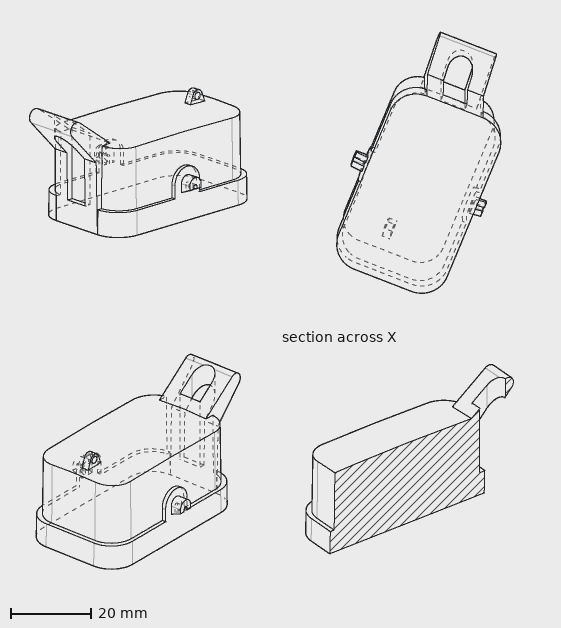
import cadquery as cq
import math

overall_length = 57.55
overall_height = 31.2
overall_width = 34.9

skirt_length = 48.3
skirt_width = 29.2
skirt_height = 6.55
skirt_corner_radius = 6.9
wall_draft = 0.8

cap_length = 45.75
cap_width = 26.85
cap_corner_radius = 6.45
crown_height = 23.65
crown_radius_across = 143.8
crown_radius_along = 632.85

peg_height = 10.0
peg_radius = 1.95
peg_base_bottom = 7.7
peg_tip_bottom = 8.9
peg_groove_width = 1.05
peg_groove_top = 10.05
ear_radius = 4.2

latch_width = 15.1
latch_foot_y = -24.2
latch_knee_y = -24.6
latch_knee_height = 19.05
lever_root_y = -19.9
lever_root_height = 23.2
lever_tip_radius = 2.0
lever_tip_y = skirt_length / 2 - overall_length + lever_tip_radius
lever_tip_height = overall_height - lever_tip_radius
window_width = 6.45
window_back_y = -22.8
window_front_y = -30.65

eyelet_y = 17.0
eyelet_height = 25.25
eyelet_radius = 1.6
eyelet_hole_radius = 0.9
eyelet_thickness = 2.0
eyelet_foot_half_length = 2.55
eyelet_foot_height = 23.2


def tangent_point(start, center, radius, side):
    """Point where a line from start touches a circle; side is 1 or -1."""
    dy = start[0] - center[0]
    dz = start[1] - center[1]
    angle = math.atan2(dz, dy) + side * math.acos(radius / math.hypot(dy, dz))
    return (center[0] + radius * math.cos(angle), center[1] + radius * math.sin(angle))


def drafted_block(length, width, corner_radius, base_height, height):
    """Rounded rectangular block whose walls lean inward."""
    outline = cq.Sketch().rect(width, length).vertices().fillet(corner_radius)
    base = cq.Workplane("XY", origin=(0, 0, base_height))
    return base.placeSketch(outline).extrude(height, taper=wall_draft)


def make_skirt():
    return drafted_block(skirt_length, skirt_width, skirt_corner_radius, 0, skirt_height)


def make_crown_limit():
    """Everything below the crown: an arc across X, swept about an axis along X."""
    half_width = skirt_width / 2
    sag = crown_radius_across - math.sqrt(crown_radius_across**2 - half_width**2)
    edge_height = crown_height - sag
    axis_height = crown_height - crown_radius_along
    sweep_angle = 2 * math.degrees(math.asin(skirt_length / 2 / (crown_radius_along - crown_height)))
    profile = (
        cq.Workplane("XZ")
        .moveTo(-half_width, 0)
        .lineTo(half_width, 0)
        .lineTo(half_width, edge_height)
        .threePointArc((0, crown_height), (-half_width, edge_height))
        .close()
    )
    wedge = profile.revolve(sweep_angle, (0, axis_height, 0), (1, axis_height, 0))
    return wedge.rotate((0, 0, axis_height), (1, 0, axis_height), -sweep_angle / 2)


def make_cap():
    cap_height = crown_height - skirt_height
    block = drafted_block(cap_length, cap_width, cap_corner_radius, skirt_height, cap_height)
    return block.intersect(make_crown_limit())


def make_ears():
    """Arched pads on both long sides, flush with the drafted skirt walls."""
    ear_top = peg_height + ear_radius
    tall_skirt = drafted_block(skirt_length, skirt_width, skirt_corner_radius, 0, ear_top)
    arch = (
        cq.Workplane("YZ")
        .moveTo(-ear_radius, 0)
        .lineTo(-ear_radius, peg_height)
        .threePointArc((0, ear_top), (ear_radius, peg_height))
        .lineTo(ear_radius, 0)
        .close()
        .extrude(skirt_width / 2, both=True)
    )
    return tall_skirt.intersect(arch)


def make_peg():
    """Round-topped peg toward +X with a tapered, grooved underside."""
    ear_face_x = skirt_width / 2 - peg_height * math.tan(math.radians(wall_draft))
    tip_x = overall_width / 2
    arch = (
        cq.Workplane("YZ")
        .moveTo(-peg_radius, peg_base_bottom)
        .lineTo(-peg_radius, peg_height)
        .threePointArc((0, peg_height + peg_radius), (peg_radius, peg_height))
        .lineTo(peg_radius, peg_base_bottom)
        .close()
        .extrude(tip_x)
    )
    side_outline = (
        cq.Workplane("XZ")
        .moveTo(0, peg_base_bottom)
        .lineTo(ear_face_x, peg_base_bottom)
        .lineTo(tip_x, peg_tip_bottom)
        .lineTo(tip_x, peg_height + peg_radius)
        .lineTo(0, peg_height + peg_radius)
        .close()
        .extrude(peg_radius, both=True)
    )
    groove_radius = peg_groove_width / 2
    groove_center = peg_groove_top - groove_radius
    groove = (
        cq.Workplane("YZ", origin=(ear_face_x, 0, 0))
        .moveTo(-groove_radius, 0)
        .lineTo(-groove_radius, groove_center)
        .threePointArc((0, peg_groove_top), (groove_radius, groove_center))
        .lineTo(groove_radius, 0)
        .close()
        .extrude(tip_x - ear_face_x)
    )
    return arch.intersect(side_outline).cut(groove)


def make_latch():
    """Front plate and lever as one profile across the cover."""
    knee = (latch_knee_y, latch_knee_height)
    root = (lever_root_y, lever_root_height)
    tip_center = (lever_tip_y, lever_tip_height)
    under_tip = tangent_point(knee, tip_center, lever_tip_radius, -1)
    over_tip = tangent_point(root, tip_center, lever_tip_radius, 1)
    tip_end = (lever_tip_y - lever_tip_radius, lever_tip_height)
    return (
        cq.Workplane("YZ")
        .moveTo(latch_foot_y, 0)
        .lineTo(*knee)
        .lineTo(*under_tip)
        .threePointArc(tip_end, over_tip)
        .lineTo(*root)
        .lineTo(lever_root_y, 0)
        .close()
        .extrude(latch_width / 2, both=True)
    )


def make_window():
    """Upright slot through the lever, down to the top of the skirt, round at the front."""
    half_width = window_width / 2
    round_start_y = window_front_y + half_width
    return (
        cq.Workplane("XY", origin=(0, 0, skirt_height))
        .moveTo(-half_width, window_back_y)
        .lineTo(-half_width, round_start_y)
        .threePointArc((0, window_front_y), (half_width, round_start_y))
        .lineTo(half_width, window_back_y)
        .close()
        .extrude(overall_height - skirt_height)
    )


def make_eyelet():
    """Lug with straight flanks running tangent into its round top, and a cross hole."""
    center = (eyelet_y, eyelet_height)
    front_foot = (eyelet_y - eyelet_foot_half_length, eyelet_foot_height)
    back_foot = (eyelet_y + eyelet_foot_half_length, eyelet_foot_height)
    buried_height = skirt_height
    top = (eyelet_y, eyelet_height + eyelet_radius)
    front_tangent = tangent_point(front_foot, center, eyelet_radius, -1)
    back_tangent = tangent_point(back_foot, center, eyelet_radius, 1)
    lug = (
        cq.Workplane("YZ")
        .moveTo(front_foot[0], buried_height)
        .lineTo(*front_foot)
        .lineTo(*front_tangent)
        .threePointArc(top, back_tangent)
        .lineTo(*back_foot)
        .lineTo(back_foot[0], buried_height)
        .close()
        .extrude(-eyelet_thickness)
    )
    hole = cq.Workplane("YZ").center(*center).circle(eyelet_hole_radius).extrude(-eyelet_thickness)
    return lug.cut(hole)


def make_cover():
    """The whole one-piece cover."""
    cover = make_skirt().union(make_cap()).union(make_ears())
    peg = make_peg()
    for turn in (0, 180):
        cover = cover.union(peg.rotate((0, 0, 0), (0, 0, 1), turn))
    cover = cover.union(make_latch()).cut(make_window())
    return cover.union(make_eyelet())


cover = make_cover()
result = cq.Compound.makeCompound([cover.solids().val()])